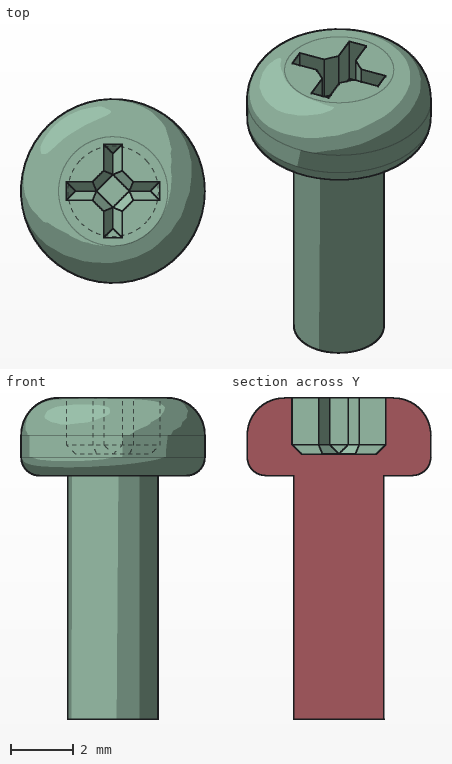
import cadquery as cq
import math

head_diameter = 5.9
head_height = 2.5
head_top_radius = 1.2
head_bottom_radius = 0.6
shank_diameter = 2.9
shank_length = 7.8
top_z = head_height

slot_length = 3.0
slot_width = 0.6
core_diagonal = 1.9
wall_depth = 1.5
slope_angle = 45.0
slope_inset = slot_width / 2
slope_depth = slope_inset / math.tan(math.radians(slope_angle))
slope_top_z = top_z - wall_depth
floor_z = slope_top_z - slope_depth
quarter_turn = 90
square_turn = quarter_turn / 2


def make_head():
    head = cq.Workplane("XY").circle(head_diameter / 2).extrude(head_height)
    head = head.faces(">Z").edges().fillet(head_top_radius)
    return head.faces("<Z").edges().fillet(head_bottom_radius)


def make_shank():
    return cq.Workplane("XY").circle(shank_diameter / 2).extrude(-shank_length)


def slot_section(plane, width, through_length):
    """Prism with straight upper sides and lower sides sloping in by slope_inset."""
    half_top = width / 2
    half_floor = half_top - slope_inset
    points = [(-half_top, slope_top_z), (-half_top, top_z), (half_top, top_z), (half_top, slope_top_z)]
    if width > 2 * slope_inset:
        points += [(half_floor, floor_z), (-half_floor, floor_z)]
    else:
        points.append((0, floor_z))
    return cq.Workplane(plane).polyline(points).close().extrude(through_length / 2, both=True)


def make_slot():
    """Slot along X whose bottom narrows to a line, like an upturned hip roof."""
    lengthwise = slot_section("XZ", slot_length, slot_width)
    crosswise = slot_section("YZ", slot_width, slot_length)
    return lengthwise.intersect(crosswise)


def make_core():
    """Square pocket with corners on X and Y, narrowing to a flat floor."""
    side = core_diagonal / math.sqrt(2)
    lengthwise = slot_section("XZ", side, side)
    crosswise = slot_section("YZ", side, side)
    return lengthwise.intersect(crosswise).rotate((0, 0, 0), (0, 0, 1), square_turn)


def make_recess():
    slot = make_slot()
    crossing_slot = slot.rotate((0, 0, 0), (0, 0, 1), quarter_turn)
    return make_core().union(slot).union(crossing_slot)


result = make_head().union(make_shank()).cut(make_recess())